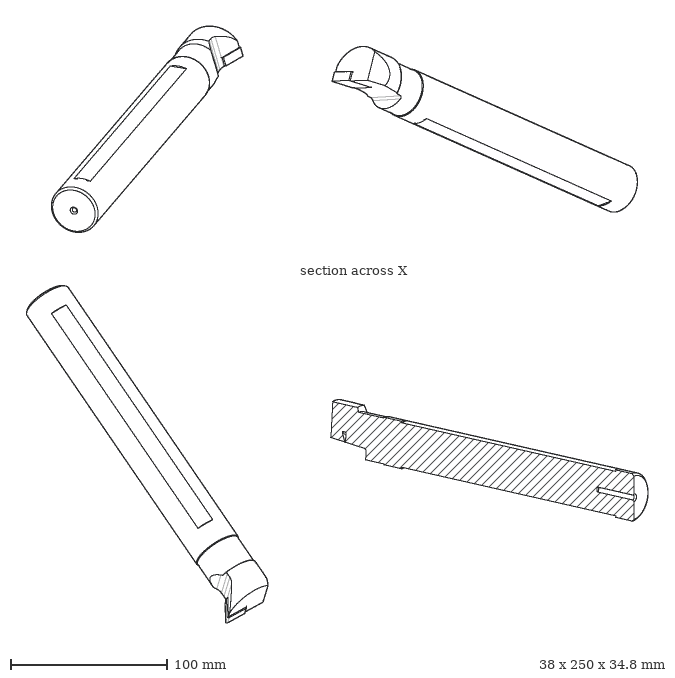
import cadquery as cq
import math

bar_length = 250.0
shank_radius = 32.0 / 2
neck_radius = 31.0 / 2
shank_front = bar_length - 45.0
rear_chamfer = 1.5

flat_spacing = 30.0
flat_rear = 15.0
flat_front = bar_length - 60.0

countersink_radius = 5.0 / 2
bore_radius = 3.0 / 2
bore_depth = 30.0

head_radius = 18.76
head_center_x = head_radius - shank_radius
head_rear = bar_length - 25.0
head_rear_slope = 0.3

insert_angle = 55.0
inscribed_circle = 12.7
insert_side = inscribed_circle / math.sin(math.radians(insert_angle))
insert_thickness = 6.35
nose_radius = 0.8
lead_angle = 3.0
back_angle = lead_angle + insert_angle
bisector_angle = lead_angle + insert_angle / 2

cutting_radius = 22.0
radial_slope = 0.25
axial_slope = 0.08

seat_clearance = 0.8
relief_start = -30.8
relief_angle = 57.0
scoop_wall = -10.7
scoop_wall_end = -23.0
scoop_exit_angle = 60.0
scoop_fillet = 8.0
chip_floor_end = -31.0
chip_floor_fillet = 1.5

reach = 60.0


def tangent(angle):
    return math.tan(math.radians(angle))


def from_corner(angle, distance):
    """Seat-plane point at a distance from the cutting corner, turned down from -X by the angle."""
    turn = math.radians(angle)
    return (-distance * math.cos(turn), -distance * math.sin(turn))


nose_center_distance = nose_radius / math.sin(math.radians(insert_angle / 2))
nose_center = from_corner(bisector_angle, nose_center_distance)
radial_shortening = 1 / math.hypot(1, radial_slope)
corner_x = cutting_radius - (nose_radius + nose_center[0]) * radial_shortening
corner_y = bar_length - (nose_radius + nose_center[1])
seat = cq.Plane(
    origin=(corner_x, corner_y, 0),
    xDir=(1, 0, radial_slope),
    normal=(-radial_slope, -axial_slope, 1),
)


def revolve_about_y(profile):
    """Solid of revolution about the Y axis from (radius, y) points."""
    return cq.Workplane("XY").polyline(profile).close().revolve(360, (0, 0), (0, 1))


def make_insert():
    front = from_corner(lead_angle, insert_side)
    back = from_corner(back_angle, insert_side)
    far = (front[0] + back[0], front[1] + back[1])
    rhombus = cq.Workplane(seat).polyline([(0, 0), front, far, back]).close().extrude(insert_thickness)
    corner_edge = cq.selectors.NearestToPointSelector(seat.toWorldCoords((0, 0, insert_thickness / 2)))
    return rhombus.edges(corner_edge).fillet(nose_radius)


def make_shank():
    step = shank_radius - neck_radius
    shank = revolve_about_y([
        (0, 0),
        (shank_radius - rear_chamfer, 0),
        (shank_radius, rear_chamfer),
        (shank_radius, shank_front - step),
        (neck_radius, shank_front),
        (0, shank_front),
    ])
    flat_length = flat_front - flat_rear
    for side in (1, -1):
        cutter = cq.Workplane("XY").box(2 * shank_radius, flat_length, 2 * shank_radius)
        flat_center = (0, flat_rear + flat_length / 2, side * (flat_spacing / 2 + shank_radius))
        shank = shank.cut(cutter.translate(flat_center))
    return shank


def make_bore():
    countersink_depth = countersink_radius - bore_radius
    return revolve_about_y([
        (0, 0),
        (countersink_radius, 0),
        (bore_radius, countersink_depth),
        (bore_radius, bore_depth),
        (0, bore_depth),
    ])


def make_head_blank():
    """Neck and full eccentric head, whose rear face is a shallow cone about the bar axis."""
    head = (
        cq.Workplane("XZ", origin=(head_center_x, bar_length, 0))
        .circle(head_radius)
        .extrude(bar_length - shank_front)
    )
    cone_top = head_rear + head_rear_slope * (reach - neck_radius)
    around_neck = revolve_about_y([
        (neck_radius, 0),
        (reach, 0),
        (reach, cone_top),
        (neck_radius, head_rear),
    ])
    neck = revolve_about_y([
        (0, shank_front),
        (neck_radius, shank_front),
        (neck_radius, head_rear),
        (0, head_rear),
    ])
    return head.cut(around_neck).union(neck)


def make_head_outline():
    """Prism square to the seat: front face, side relief, and the scoop behind the insert."""
    tip = from_corner(bisector_angle, seat_clearance / math.sin(math.radians(insert_angle / 2)))
    relief_top = (relief_start, tip[1] + (relief_start - tip[0]) * tangent(lead_angle))
    relief_bottom = (relief_start - reach / tangent(relief_angle), relief_top[1] - reach)
    wall_top = (scoop_wall, tip[1] + (scoop_wall - tip[0]) * tangent(back_angle))
    wall_bottom = (scoop_wall, scoop_wall_end)
    exit_drop = scoop_wall_end - relief_bottom[1]
    exit_end = (scoop_wall + exit_drop / tangent(scoop_exit_angle), relief_bottom[1])
    outline = (
        cq.Workplane(seat)
        .polyline([tip, relief_top, relief_bottom, exit_end, wall_bottom, wall_top])
        .close()
        .extrude(reach, both=True)
    )
    for corner in (wall_top, wall_bottom):
        wall_edge = cq.selectors.NearestToPointSelector(seat.toWorldCoords((*corner, 0)))
        outline = outline.edges(wall_edge).fillet(scoop_fillet)
    return outline


def make_chip_pocket():
    """Everything below the seat plane, ending in a filleted step across the neck."""
    pocket = (
        cq.Workplane(seat)
        .moveTo(-reach, chip_floor_end)
        .lineTo(reach, chip_floor_end)
        .lineTo(reach, reach)
        .lineTo(-reach, reach)
        .close()
        .extrude(-reach)
    )
    floor_edge = cq.selectors.NearestToPointSelector(seat.toWorldCoords((0, chip_floor_end, 0)))
    return pocket.edges(floor_edge).fillet(chip_floor_fillet)


insert = make_insert()
head = make_head_blank().intersect(make_head_outline()).cut(make_chip_pocket())
bar = make_shank().union(head).cut(make_bore()).cut(insert)

result = cq.Compound.makeCompound([bar.solids().val(), insert.solids().val()])